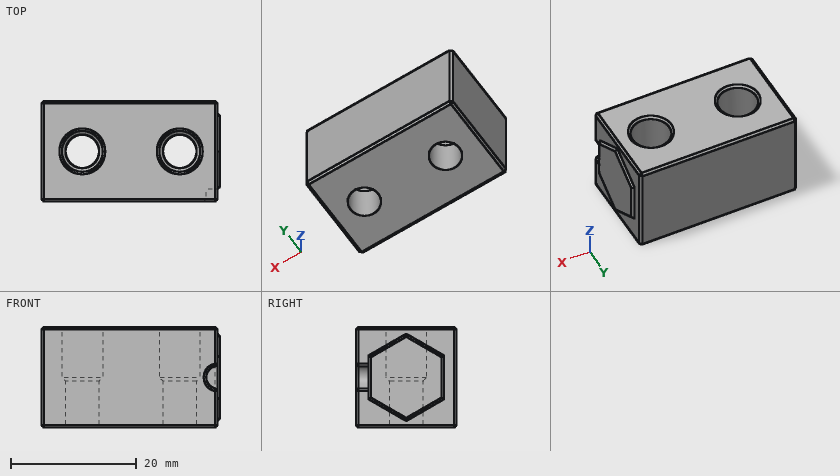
import cadquery as cq
import math

length = 28.0
side = 16.0
edge_chamfer = 0.4

hole_count = 2
hole_spacing = 15.5
first_hole_x = 6.5
hole_diameter = 6.5
hole_end_diameter = 5.3
hole_step_z = 0.0

boss_height = 0.4
boss_across_flats = 12.0
boss_bevel_angle = 45.0

notch_radius = 1.8
notch_floor_y = -boss_across_flats / 2
notch_depth = side / 2 + notch_floor_y


def make_notched_block():
    """Block with a notch, bevelled on every edge except those of the notch floor."""
    block = cq.Workplane("XY").box(length, side, side, centered=(False, True, True))
    notch_floor = cq.Workplane("XZ", origin=(length, notch_floor_y, 0))
    block = block.cut(notch_floor.circle(notch_radius).extrude(notch_depth))

    point_on_floor = (length - notch_radius / 2, notch_floor_y, 0)
    floor_edges = block.faces(cq.selectors.NearestToPointSelector(point_on_floor)).edges().vals()
    outer_edges = [
        edge
        for edge in block.edges().vals()
        if not any(edge.isSame(floor_edge) for floor_edge in floor_edges)
    ]
    return block.newObject(outer_edges).chamfer(edge_chamfer)


def make_hole(x):
    """Bore from the top with a bevelled mouth, narrowed by a 45 degree cone to a smaller exit."""
    top_z = side / 2
    bore_radius = hole_diameter / 2
    end_radius = hole_end_diameter / 2
    mouth_radius = bore_radius + edge_chamfer
    cone_height = bore_radius - end_radius
    profile = [
        (0, top_z),
        (mouth_radius, top_z),
        (bore_radius, top_z - edge_chamfer),
        (bore_radius, hole_step_z),
        (end_radius, hole_step_z - cone_height),
        (end_radius, -top_z),
        (0, -top_z),
    ]
    hole = cq.Workplane("XZ").polyline(profile).close().revolve(360, (0, 0), (0, 1))
    return hole.translate((x, 0, 0))


def make_boss():
    """Hexagon with corners at top and bottom and flats facing -Y and +Y."""
    across_corners = boss_across_flats / math.cos(math.radians(30))
    end_plane = cq.Workplane("YZ", origin=(length, 0, 0)).transformed(rotate=(0, 0, 90))
    return end_plane.polygon(6, across_corners).extrude(boss_height, taper=boss_bevel_angle)


result = make_notched_block().union(make_boss())
for index in range(hole_count):
    result = result.cut(make_hole(first_hole_x + index * hole_spacing))